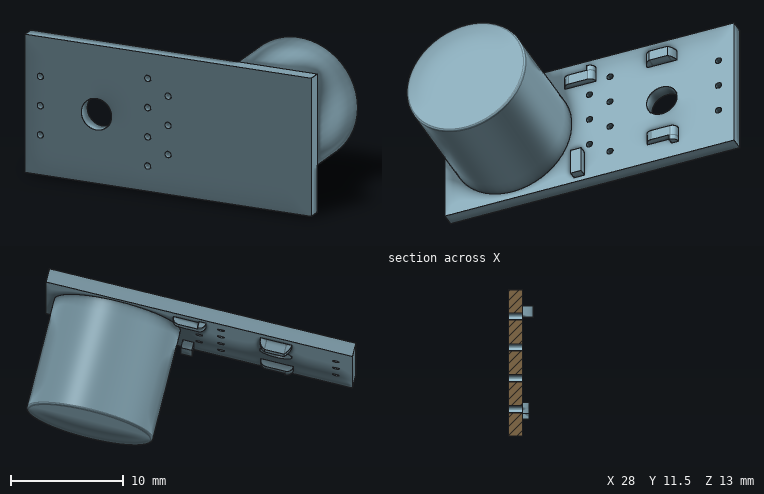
import cadquery as cq
import math

board_length = 28.0
board_height = 13.0
board_thickness = 1.25

mounting_hole_diameter = 2.95
mounting_hole_x = -7.0
pin_hole_diameter = 0.6
pin_pitch = 2.75
pin_columns = [(-12.5, 3), (-2.0, 4), (0, 3)]

total_depth = 11.5
can_diameter = 11.55
can_x = 7.48
can_rim_fillet = 0.17

chip_width = 1.0

package_length = 3.0
package_height = 0.6
tab_length = 0.67
tab_width = 0.5
upper_package_left = -0.65
upper_package_z = 4.55
lower_package_left = -8.62
lower_package_z = -4.0

tall_chip_height = 0.95
tall_chip_z = upper_package_z
tall_core_left = -7.98
tall_core_length = 1.8
left_cap_length = 0.5
right_cap_length = 0.6
left_cap_radius = 1.82
right_cap_radius = 1.05

block_height = 0.75
block_length = 2.52
block_left = 0.48
block_top_z = -3.5


def back_side_plate(profile, z_center, width):
    """Extrude an XY profile along Z, centred on z_center."""
    return profile.extrude(width / 2, both=True).translate((0, board_thickness, z_center))


def make_board():
    board = cq.Workplane("XY").box(
        board_length, board_thickness, board_height, centered=(True, False, True)
    )
    pin_points = [
        (x, (row - (count - 1) / 2) * pin_pitch) for x, count in pin_columns for row in range(count)
    ]
    back_plane = cq.Workplane("XZ", origin=(0, board_thickness, 0))
    pin_holes = back_plane.pushPoints(pin_points).circle(pin_hole_diameter / 2).extrude(board_thickness)
    mounting_hole = (
        back_plane.center(mounting_hole_x, 0).circle(mounting_hole_diameter / 2).extrude(board_thickness)
    )
    return board.cut(pin_holes).cut(mounting_hole)


def make_can():
    return (
        cq.Workplane("XZ", origin=(can_x, board_thickness, 0))
        .circle(can_diameter / 2)
        .extrude(board_thickness - total_depth)
        .faces(">Y")
        .edges()
        .fillet(can_rim_fillet)
    )


def rounded_left_end(left, radius):
    """Start an XY outline with a quarter circle rising from the board."""
    arc_reach = radius * math.sqrt(0.5)
    return (
        cq.Workplane("XY")
        .moveTo(left, 0)
        .threePointArc((left + radius - arc_reach, arc_reach), (left + radius, radius))
    )


def make_package(left, z_center, tab_side):
    """Rounded bar with a tab on its +Z side (tab_side = 1) or -Z side (tab_side = -1)."""
    radius = package_height
    arc_reach = radius * math.sqrt(0.5)
    right = left + package_length
    bar_profile = (
        rounded_left_end(left, radius)
        .lineTo(right - radius, radius)
        .threePointArc((right - radius + arc_reach, arc_reach), (right, 0))
        .close()
    )
    tab_profile = (
        rounded_left_end(left, radius)
        .lineTo(left + tab_length, radius)
        .lineTo(left + tab_length, 0)
        .close()
    )
    tab_z = z_center + tab_side * (chip_width + tab_width) / 2
    bar = back_side_plate(bar_profile, z_center, chip_width)
    tab = back_side_plate(tab_profile, tab_z, tab_width)
    return bar.union(tab, clean=False)


def make_tall_chip():
    core_right = tall_core_left + tall_core_length
    core_profile = (
        cq.Workplane("XY")
        .moveTo(tall_core_left, 0)
        .rect(tall_core_length, tall_chip_height, centered=False)
    )
    left_cap_profile = (
        cq.Workplane("XY")
        .moveTo(tall_core_left, 0)
        .lineTo(tall_core_left, tall_chip_height)
        .radiusArc((tall_core_left - left_cap_length, 0), -left_cap_radius)
        .close()
    )
    right_cap_profile = (
        cq.Workplane("XY")
        .moveTo(core_right, 0)
        .lineTo(core_right, tall_chip_height)
        .radiusArc((core_right + right_cap_length, 0), right_cap_radius)
        .close()
    )
    chip = back_side_plate(core_profile, tall_chip_z, chip_width)
    for cap_profile in (left_cap_profile, right_cap_profile):
        chip = chip.union(back_side_plate(cap_profile, tall_chip_z, chip_width), clean=False)
    return chip


def make_block():
    return cq.Workplane("XY").box(chip_width, block_height, block_length, centered=False).translate(
        (block_left, board_thickness, block_top_z - block_length)
    )


board = make_board()
can = make_can()
tall_chip = make_tall_chip()
block = make_block()
packages = [
    make_package(left, z_center, tab_side)
    for left, z_center, tab_side in [
        (upper_package_left, upper_package_z, 1),
        (lower_package_left, lower_package_z, -1),
    ]
]

result = cq.Compound.makeCompound(
    [board.val(), can.val(), tall_chip.val(), block.val(), *[package.val() for package in packages]]
)